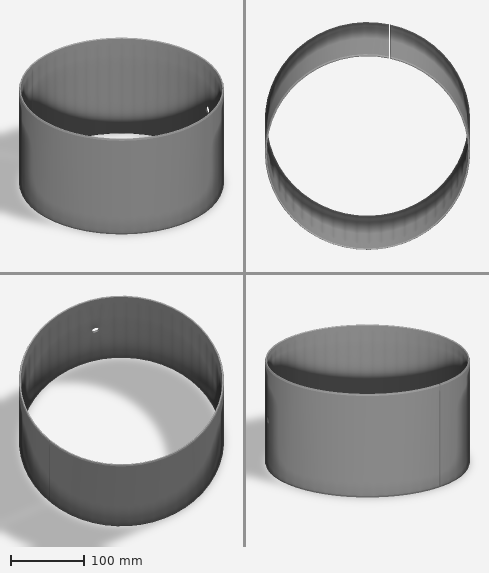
import cadquery as cq

outer_diameter = 280.0
height = 150.0
wall = 2.5
chamfer_height = 2.5
chamfer_depth = 0.8
inner_chamfer = 0.8
gap_width = 2.0
hole_diameter = 10.0
hole_angle = 59.0

outer_radius = outer_diameter / 2
inner_radius = outer_radius - wall
chamfer_radius = outer_radius - chamfer_depth
half_height = height / 2
shoulder_height = half_height - chamfer_height
inner_edge_height = half_height - inner_chamfer
bevel_radius = inner_radius + inner_chamfer
cut_reach = 2 * wall


def ring():
    """Thin band with steep chamfers on its outer edges and small 45 degree ones on its inner edges."""
    profile = [
        (inner_radius, -inner_edge_height),
        (bevel_radius, -half_height),
        (chamfer_radius, -half_height),
        (outer_radius, -shoulder_height),
        (outer_radius, shoulder_height),
        (chamfer_radius, half_height),
        (bevel_radius, half_height),
        (inner_radius, inner_edge_height),
    ]
    return cq.Workplane("XZ").polyline(profile).close().revolve(360, (0, 0), (0, 1))


def split_gap():
    """Slit through the full height of the wall on the -X side, with one face on Y = 0."""
    cutter = cq.Workplane("XY").box(2 * cut_reach, gap_width, height)
    return cutter.translate((-outer_radius, gap_width / 2, 0))


def radial_hole():
    """Round hole through the wall at mid height."""
    cutter = cq.Workplane("YZ", origin=(outer_radius, 0, 0)).circle(hole_diameter / 2)
    cutter = cutter.extrude(cut_reach, both=True)
    return cutter.rotate((0, 0, 0), (0, 0, 1), hole_angle)


result = ring().cut(split_gap()).cut(radial_hole())